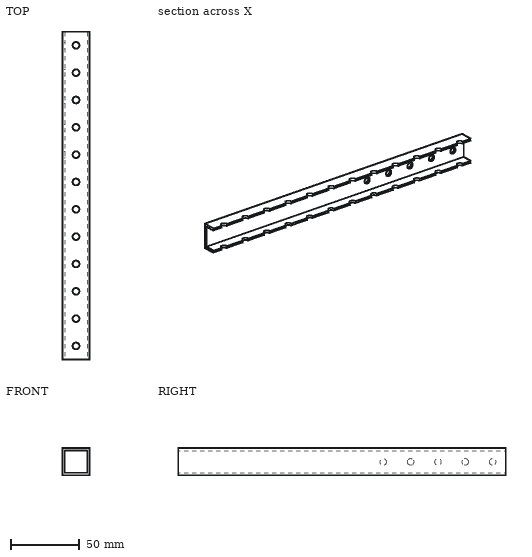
import cadquery as cq

length = 240.0
pitch_count = 12
pitch = length / pitch_count
width = pitch
wall = 2.0

hole_diameter = 4.8
side_hole_count = 5


def hole_position(index):
    """Y of a hole, the first lying half a pitch from the +Y end."""
    return length / 2 - (index + 0.5) * pitch


def make_tube():
    outer = cq.Workplane("XY").box(width, length, width)
    bore_width = width - 2 * wall
    bore = cq.Workplane("XY").box(bore_width, length, bore_width)
    return outer.cut(bore)


def vertical_holes():
    """Holes through both the top and bottom walls."""
    points = [(0, hole_position(i)) for i in range(pitch_count)]
    return (
        cq.Workplane("XY", origin=(0, 0, -width / 2))
        .pushPoints(points)
        .circle(hole_diameter / 2)
        .extrude(width)
    )


def side_holes():
    """Holes through the -X wall only."""
    points = [(hole_position(i), 0) for i in range(side_hole_count)]
    return (
        cq.Workplane("YZ", origin=(-width / 2, 0, 0))
        .pushPoints(points)
        .circle(hole_diameter / 2)
        .extrude(width / 2)
    )


result = make_tube().cut(vertical_holes()).cut(side_holes())